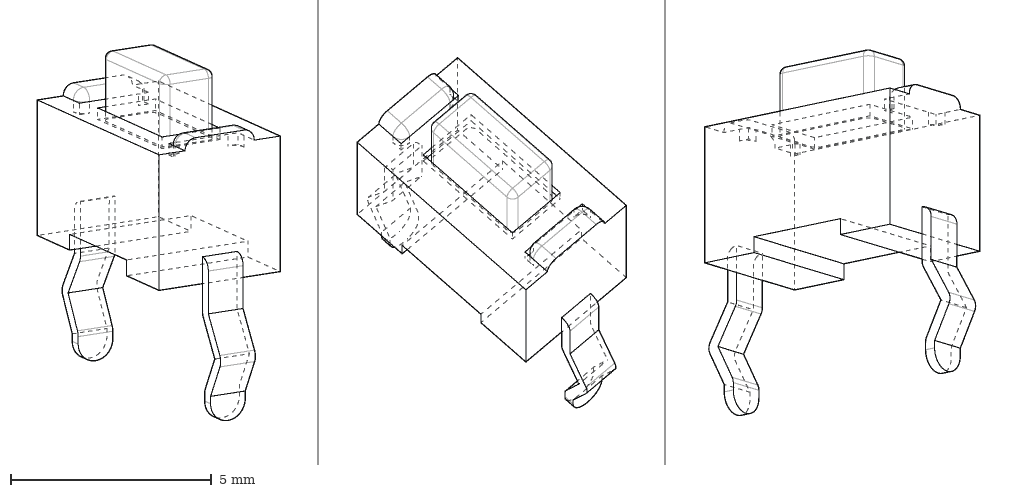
import cadquery as cq
import math

total_length = 7.81
total_height = 8.5

body_length = 6.0
body_width = 3.5
body_bottom = 3.5
body_top = 7.0
sheet = 0.3
cover_bottom = body_top - sheet

relief_length = 2.8
relief_depth = 0.41

button_length = 3.0
button_width = 1.5
button_round = 0.195
window_gap = 0.085

latch_length = 0.8
latch_width = 2.0
latch_round = 0.3
latch_top = body_top + latch_round
latch_center_x = (body_length - latch_length) / 2

leg_width = 1.0
leg_top = 4.2
upper_slope = 31
lower_slope = 28
shoulder_z = 2.8
foot_outer_x = 3.41


def block(x_size, y_size, bottom, top, x_center=0):
    """Box between two heights, centred at Y = 0 and at the given X."""
    return (
        cq.Workplane("XY")
        .box(x_size, y_size, top - bottom, centered=(True, True, False))
        .translate((x_center, 0, bottom))
    )


def both_ends(right_solid):
    """The solid at the +X end together with its mirror image at the -X end."""
    return right_solid.union(right_solid.mirror("YZ"))


def make_base():
    base = block(body_length, body_width, body_bottom, cover_bottom)
    relief = block(relief_length, body_width, body_bottom, body_bottom + relief_depth)
    return base.cut(relief)


def make_cover():
    cover = block(body_length, body_width, cover_bottom, body_top)
    window = block(
        button_length + 2 * window_gap, button_width + 2 * window_gap, cover_bottom, body_top
    )
    notch = block(latch_length, latch_width, cover_bottom, body_top, latch_center_x)
    return cover.cut(window).cut(both_ends(notch))


def make_button():
    button = block(button_length, button_width, cover_bottom, total_height)
    return button.edges("|Z or >Z").fillet(button_round)


def make_latch():
    latch = block(latch_length, latch_width, cover_bottom, latch_top, latch_center_x)
    return latch.edges("(|Z and <X) or (>Z and (not >X))").fillet(latch_round)


def bend_point(pivot, degrees):
    """Point on the rounded outside of a bend, one strip thickness from its sharp inside corner."""
    angle = math.radians(degrees)
    return (pivot[0] + sheet * math.cos(angle), pivot[1] + sheet * math.sin(angle))


def run_drop(x_offset, slope_degrees):
    """Height between the pivots of two opposite bends that a sloping run joins."""
    slope = math.radians(slope_degrees)
    return (x_offset * math.cos(slope) + sheet) / math.sin(slope)


def make_leg():
    inner_x = body_length / 2
    shoulder = (inner_x + sheet, shoulder_z)
    elbow_x = total_length / 2 - sheet
    elbow = (elbow_x, shoulder_z - run_drop(elbow_x - shoulder[0], upper_slope))
    ankle = (foot_outer_x, elbow[1] - run_drop(elbow_x - foot_outer_x, lower_slope))
    top_center = (inner_x, leg_top - sheet)

    strip = (
        cq.Workplane("XZ")
        .moveTo(inner_x, leg_top)
        .lineTo(inner_x, shoulder_z)
        .threePointArc(
            bend_point(shoulder, 180 + upper_slope / 2), bend_point(shoulder, 180 + upper_slope)
        )
        .lineTo(*elbow)
        .lineTo(*bend_point(ankle, 180 - lower_slope))
        .threePointArc(bend_point(ankle, 180 - lower_slope / 2), bend_point(ankle, 180))
        .lineTo(foot_outer_x - sheet, 0)
        .lineTo(foot_outer_x, 0)
        .lineTo(*ankle)
        .lineTo(*bend_point(elbow, -lower_slope))
        .threePointArc(bend_point(elbow, 0), bend_point(elbow, upper_slope))
        .lineTo(*shoulder)
        .lineTo(*bend_point(top_center, 0))
        .threePointArc(bend_point(top_center, 45), (inner_x, leg_top))
        .close()
        .extrude(leg_width / 2, both=True)
    )

    tip_radius = leg_width / 2
    outline = (
        cq.Workplane("YZ")
        .moveTo(-tip_radius, leg_top)
        .lineTo(-tip_radius, tip_radius)
        .threePointArc((0, 0), (tip_radius, tip_radius))
        .lineTo(tip_radius, leg_top)
        .close()
        .extrude(total_length)
    )
    return strip.intersect(outline)


result = (
    make_base()
    .union(make_cover())
    .union(make_button())
    .union(both_ends(make_latch()))
    .union(both_ends(make_leg()))
)